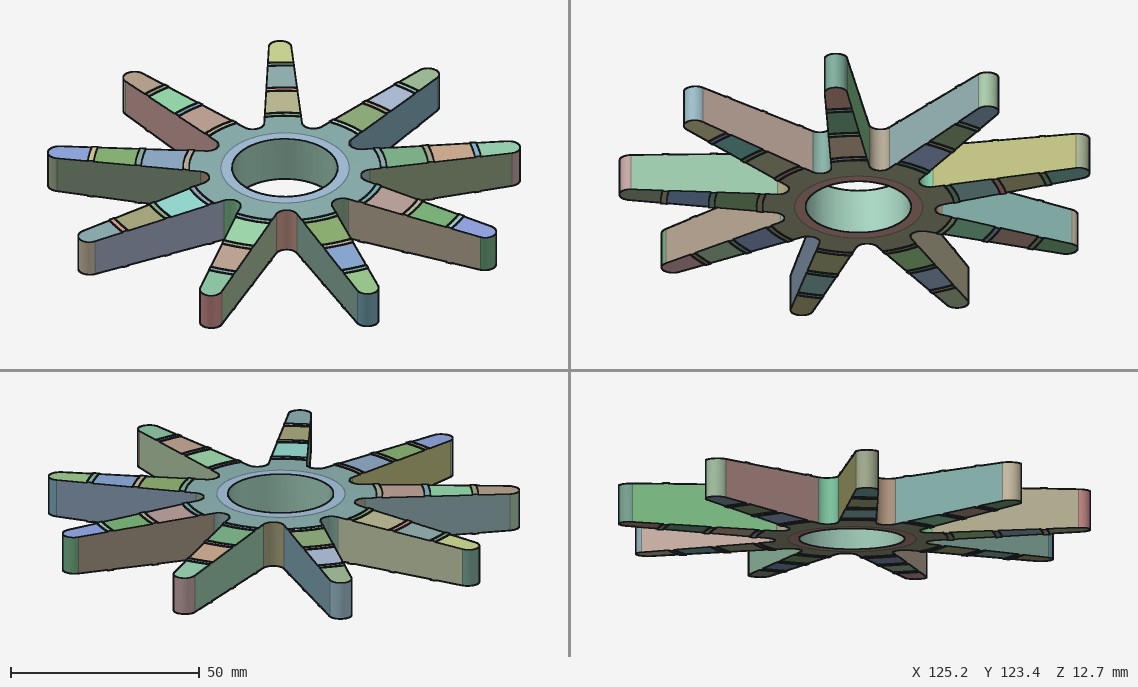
import cadquery as cq
import math

ARM_COUNT = 9
FIRST_ARM = 90.0
TIP_REACH = 63.5
TIP_RADIUS = 3.0
ARM_TAPER = 3.0
VALLEY_RADIUS = 3.0
BORE_RADIUS = 14.0
HUB_FLAT_RADIUS = 17.0
HUB_HEIGHT = 12.7
FACE_ANGLE = 1.5

MARK_STEP = 12.7
MARK_RADII = [MARK_STEP * step for step in (2, 3, 4)]
MARK_WIDTH = 1.6
MARK_RISE = 0.2
MARK_ROOT = 1.0

HALF_HUB = HUB_HEIGHT / 2
FACE_SLOPE = math.tan(math.radians(FACE_ANGLE))
TIP_CENTRE = TIP_REACH - TIP_RADIUS
ARM_PITCH = 360 / ARM_COUNT


def face_height(radius):
    """Height of the conical face above the mid-plane."""
    return HALF_HUB - FACE_SLOPE * (radius - HUB_FLAT_RADIUS)


def polar(radius, degrees):
    """XY point at a radius and direction from the centre."""
    angle = math.radians(degrees)
    return (radius * math.cos(angle), radius * math.sin(angle))


def star_prism():
    """Nine tapered, round-tipped arms with rounded valleys between them."""
    taper = math.radians(ARM_TAPER)
    half_pitch = math.radians(ARM_PITCH / 2)
    side_offset = TIP_CENTRE * math.sin(taper) + TIP_RADIUS
    valley_centre = (side_offset + VALLEY_RADIUS) / math.sin(half_pitch + taper)
    valley_bottom = valley_centre - VALLEY_RADIUS
    tip_tangent = (
        TIP_CENTRE + TIP_RADIUS * math.sin(taper),
        TIP_RADIUS * math.cos(taper),
    )
    valley_tangent = (
        valley_centre * math.cos(half_pitch) - VALLEY_RADIUS * math.sin(taper),
        valley_centre * math.sin(half_pitch) - VALLEY_RADIUS * math.cos(taper),
    )

    def placed(point, direction, side):
        """Arm-frame point turned to an arm, on its left (1) or right (-1) side."""
        radius = math.hypot(*point)
        swing = math.degrees(math.atan2(point[1], point[0]))
        return polar(radius, direction + side * swing)

    outline = cq.Workplane("XY", origin=(0, 0, -HALF_HUB - MARK_RISE))
    outline = outline.moveTo(*placed(valley_tangent, FIRST_ARM, -1))
    for arm in range(ARM_COUNT):
        direction = FIRST_ARM + arm * ARM_PITCH
        outline = outline.lineTo(*placed(tip_tangent, direction, -1))
        outline = outline.threePointArc(
            polar(TIP_REACH, direction),
            placed(tip_tangent, direction, 1),
        )
        outline = outline.lineTo(*placed(valley_tangent, direction, 1))
        outline = outline.threePointArc(
            polar(valley_bottom, direction + ARM_PITCH / 2),
            placed(valley_tangent, direction + ARM_PITCH, -1),
        )
    return outline.close().extrude(HUB_HEIGHT + 2 * MARK_RISE)


def revolved(profile):
    """Turn a (radius, height) profile about the Z axis."""
    return profile.close().revolve(360, (0, 0, 0), (0, 1, 0))


def wheel_body():
    """Ring with a flat hub face and shallow conical faces beyond it."""
    outer = TIP_REACH + TIP_RADIUS
    profile = (
        cq.Workplane("XZ")
        .moveTo(BORE_RADIUS, -HALF_HUB)
        .lineTo(HUB_FLAT_RADIUS, -HALF_HUB)
        .lineTo(outer, -face_height(outer))
        .lineTo(outer, face_height(outer))
        .lineTo(HUB_FLAT_RADIUS, HALF_HUB)
        .lineTo(BORE_RADIUS, HALF_HUB)
    )
    return revolved(profile)


def mark_ring(inner, side):
    """Band standing proud of the upper (1) or lower (-1) face, parallel to it."""
    outer = inner + MARK_WIDTH
    profile = (
        cq.Workplane("XZ")
        .moveTo(inner, side * (face_height(inner) - MARK_ROOT))
        .lineTo(inner, side * (face_height(inner) + MARK_RISE))
        .lineTo(outer, side * (face_height(outer) + MARK_RISE))
        .lineTo(outer, side * (face_height(outer) - MARK_ROOT))
    )
    return revolved(profile)


body = wheel_body()
for mark_radius in MARK_RADII:
    for face_side in (1, -1):
        body = body.union(mark_ring(mark_radius, face_side))

result = body.intersect(star_prism())